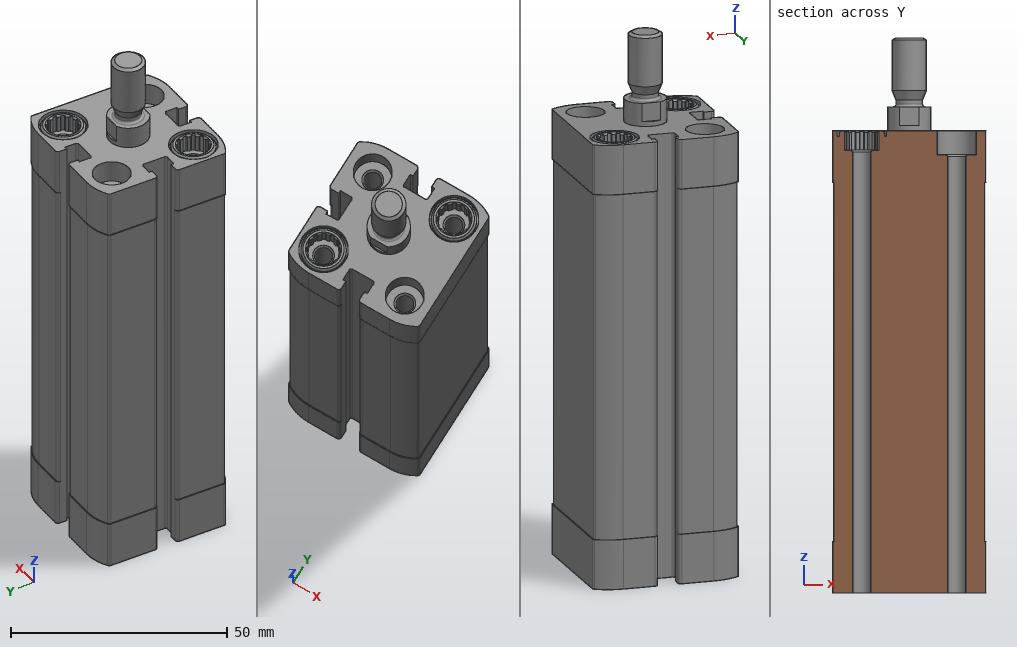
import cadquery as cq
import math


TOTAL_HEIGHT = 128.5
HOUSING_HEIGHT = 107.0
WIDTH = 35.5
END_CAP_HEIGHT = 12.0
TUBE_INSET = 0.3

SCREW_SPACING = 22.0
SCREW_OFFSET = SCREW_SPACING / 2
CORNER_RADIUS = 12.0
CORNER_FILLET = 0.8

SLOT_OPENING = 5.0
SLOT_INNER_WIDTH = 6.5
SLOT_LIP = 2.7
SLOT_DEPTH = 6.0
SLOT_FLOOR_FILLET = 0.5
SLOT_MOUTH_FILLET = 0.8
SLOT_ANGLES = (0, 90, 180)

THROUGH_DIAMETER = 4.1
COUNTERSINK_DIAMETER = 5.0
COUNTERBORE_DIAMETER = 9.0
COUNTERBORE_DEPTH = 5.5

HEAD_HOLE_DIAMETER = 11.5
HEAD_DIAMETER = 10.5
HEAD_TOP_DIAMETER = 9.5
HEAD_GAP_DEPTH = 1.3
SOCKET_MOUTH_DIAMETER = 8.4
SOCKET_DEPTH = 4.5
SPLINE_TIP_DIAMETER = 7.5
SPLINE_ROOT_DIAMETER = 8.0
SPLINE_COUNT = 12
SPLINE_ROOT_ANGLE = 12.0
SPLINE_TIP_ANGLE = 18.0

COLLAR_DIAMETER = 10.0
COLLAR_HEIGHT = 5.5
ACROSS_FLATS = 9.0
FLAT_START = 1.2
NECK_DIAMETER = 6.2
NECK_FILLET = 0.6
NECK_TOP = 7.1
THREAD_DIAMETER = 8.0
THREAD_START = 9.3
TIP_DIAMETER = 6.3
TIP_CHAMFER_HEIGHT = 0.5
ROD_LENGTH = TOTAL_HEIGHT - HOUSING_HEIGHT

NEAR = 0.1


def revolve_about_z(profile):
    """Full turn about Z of a closed profile drawn as (radius, height)."""
    return profile.close().revolve(360, (0, 0, 0), (0, 1, 0))


def fillet_uprights(body, x_range, y_range, radius):
    """Round the vertical edges of `body` that stand inside the given X and Y ranges."""
    box = cq.selectors.BoxSelector(
        (x_range[0] - NEAR, y_range[0] - NEAR, 0),
        (x_range[1] + NEAR, y_range[1] + NEAR, HOUSING_HEIGHT),
    )
    return body.edges("|Z").edges(box).fillet(radius)


def rounded_prism(inset, height):
    """Square prism whose +Y and -Y sides curve down to the flat +X and -X sides."""
    half = WIDTH / 2 - inset
    radius = CORNER_RADIUS - inset
    arc_center_y = WIDTH / 2 - CORNER_RADIUS
    corner_y = arc_center_y + math.sqrt(radius**2 - (half - SCREW_OFFSET) ** 2)
    prism = (
        cq.Workplane("XY")
        .moveTo(-SCREW_OFFSET, half)
        .lineTo(SCREW_OFFSET, half)
        .radiusArc((half, corner_y), radius)
        .lineTo(half, -corner_y)
        .radiusArc((SCREW_OFFSET, -half), radius)
        .lineTo(-SCREW_OFFSET, -half)
        .radiusArc((-half, -corner_y), radius)
        .lineTo(-half, corner_y)
        .radiusArc((-SCREW_OFFSET, half), radius)
        .close()
        .extrude(height)
    )
    for side in (-half, half):
        prism = fillet_uprights(prism, (side, side), (-corner_y, corner_y), CORNER_FILLET)
    return prism


def slot_cutter(height):
    """T-slot that opens on the +Y side; it reaches the same floor in the caps and the tube."""
    side = WIDTH / 2
    floor = side - SLOT_DEPTH
    lip = side - SLOT_LIP
    inner = (
        cq.Workplane("XY")
        .center(0, (floor + lip) / 2)
        .rect(SLOT_INNER_WIDTH, lip - floor)
        .extrude(height)
        .edges("|Z and <Y")
        .fillet(SLOT_FLOOR_FILLET)
    )
    opening = (
        cq.Workplane("XY")
        .center(0, (lip + side) / 2)
        .rect(SLOT_OPENING, SLOT_LIP)
        .extrude(height)
    )
    return inner.union(opening)


def housing_section(bottom, height, inset):
    """One length of the housing with its T-slots and their rounded mouths."""
    section = rounded_prism(inset, height)
    slot = slot_cutter(height)
    for angle in SLOT_ANGLES:
        section = section.cut(slot.rotate((0, 0, 0), (0, 0, 1), angle))

    half = WIDTH / 2 - inset
    mouth = (-SLOT_OPENING / 2, SLOT_OPENING / 2)
    section = fillet_uprights(section, mouth, (half, half), SLOT_MOUTH_FILLET)
    section = fillet_uprights(section, mouth, (-half, -half), SLOT_MOUTH_FILLET)
    section = fillet_uprights(section, (-half, -half), mouth, SLOT_MOUTH_FILLET)
    return section.translate((0, 0, bottom))


def through_hole(floor):
    """Hole from the housing bottom up to the height `floor`, with a 45 degree countersink there."""
    through_radius = THROUGH_DIAMETER / 2
    countersink_radius = COUNTERSINK_DIAMETER / 2
    return revolve_about_z(
        cq.Workplane("XZ")
        .lineTo(through_radius, 0)
        .lineTo(through_radius, floor - (countersink_radius - through_radius))
        .lineTo(countersink_radius, floor)
        .lineTo(0, floor)
    )


def counterbored_hole():
    """Plain counterbore above a through hole."""
    floor = HOUSING_HEIGHT - COUNTERBORE_DEPTH
    bore = (
        cq.Workplane("XY", origin=(0, 0, floor))
        .circle(COUNTERBORE_DIAMETER / 2)
        .extrude(COUNTERBORE_DEPTH)
    )
    return bore.union(through_hole(floor))


def screw_head_gap():
    """Ring of space around a screw head, widened by the chamfer of the head."""
    chamfer = (HEAD_DIAMETER - HEAD_TOP_DIAMETER) / 2
    gap_floor = HOUSING_HEIGHT - HEAD_GAP_DEPTH
    return revolve_about_z(
        cq.Workplane("XZ")
        .moveTo(HEAD_TOP_DIAMETER / 2, HOUSING_HEIGHT)
        .lineTo(HEAD_HOLE_DIAMETER / 2, HOUSING_HEIGHT)
        .lineTo(HEAD_HOLE_DIAMETER / 2, gap_floor)
        .lineTo(HEAD_DIAMETER / 2, gap_floor)
        .lineTo(HEAD_DIAMETER / 2, HOUSING_HEIGHT - chamfer)
    )


def splined_socket():
    """Socket with tapered grooves all round and a 45 degree conical mouth."""
    tip_radius = SPLINE_TIP_DIAMETER / 2
    root_radius = SPLINE_ROOT_DIAMETER / 2
    groove = (
        (tip_radius, -SPLINE_TIP_ANGLE / 2),
        (root_radius, -SPLINE_ROOT_ANGLE / 2),
        (root_radius, SPLINE_ROOT_ANGLE / 2),
        (tip_radius, SPLINE_TIP_ANGLE / 2),
    )
    outline = []
    for index in range(SPLINE_COUNT):
        middle = index * 360 / SPLINE_COUNT
        for radius, offset in groove:
            angle = math.radians(middle + offset)
            outline.append((radius * math.cos(angle), radius * math.sin(angle)))
    spline = (
        cq.Workplane("XY", origin=(0, 0, HOUSING_HEIGHT - SOCKET_DEPTH))
        .polyline(outline)
        .close()
        .extrude(SOCKET_DEPTH)
    )

    mouth_radius = SOCKET_MOUTH_DIAMETER / 2
    cone = revolve_about_z(
        cq.Workplane("XZ")
        .moveTo(0, HOUSING_HEIGHT)
        .lineTo(mouth_radius, HOUSING_HEIGHT)
        .lineTo(0, HOUSING_HEIGHT - mouth_radius)
    )
    return spline.union(cone)


def make_housing():
    """End cap, tube and end cap in one piece, with two kinds of screw hole on the diagonals."""
    tube_top = HOUSING_HEIGHT - END_CAP_HEIGHT
    housing = housing_section(0, END_CAP_HEIGHT, 0)
    housing = housing.union(housing_section(END_CAP_HEIGHT, tube_top - END_CAP_HEIGHT, TUBE_INSET))
    housing = housing.union(housing_section(tube_top, END_CAP_HEIGHT, 0))

    socket_hole = splined_socket().union(through_hole(HOUSING_HEIGHT - SOCKET_DEPTH))
    for side in (-SCREW_OFFSET, SCREW_OFFSET):
        housing = housing.cut(counterbored_hole().translate((side, -side, 0)))
        housing = housing.cut(screw_head_gap().translate((side, side, 0)))
        housing = housing.cut(socket_hole.translate((side, side, 0)))
    return housing


def make_rod():
    """Collar with two wrench flats, undercut neck and chamfered thread, standing on the housing."""
    collar_radius = COLLAR_DIAMETER / 2
    neck_radius = NECK_DIAMETER / 2
    thread_radius = THREAD_DIAMETER / 2
    arc_middle = NECK_FILLET * (1 - math.sqrt(0.5))
    rod = revolve_about_z(
        cq.Workplane("XZ")
        .lineTo(collar_radius, 0)
        .lineTo(collar_radius, COLLAR_HEIGHT)
        .lineTo(neck_radius + NECK_FILLET, COLLAR_HEIGHT)
        .threePointArc(
            (neck_radius + arc_middle, COLLAR_HEIGHT + arc_middle),
            (neck_radius, COLLAR_HEIGHT + NECK_FILLET),
        )
        .lineTo(neck_radius, NECK_TOP)
        .lineTo(thread_radius, THREAD_START)
        .lineTo(thread_radius, ROD_LENGTH - TIP_CHAMFER_HEIGHT)
        .lineTo(TIP_DIAMETER / 2, ROD_LENGTH)
        .lineTo(0, ROD_LENGTH)
    )

    flat_depth = (COLLAR_DIAMETER - ACROSS_FLATS) / 2
    flat_center = (COLLAR_DIAMETER + ACROSS_FLATS) / 4
    for side in (-flat_center, flat_center):
        flat = (
            cq.Workplane("XY", origin=(0, side, FLAT_START))
            .rect(COLLAR_DIAMETER, flat_depth)
            .extrude(COLLAR_HEIGHT - FLAT_START)
        )
        rod = rod.cut(flat)
    return rod.translate((0, 0, HOUSING_HEIGHT))


housing = make_housing()
rod = make_rod()
result = cq.Compound.makeCompound([housing.solids().val(), rod.solids().val()])